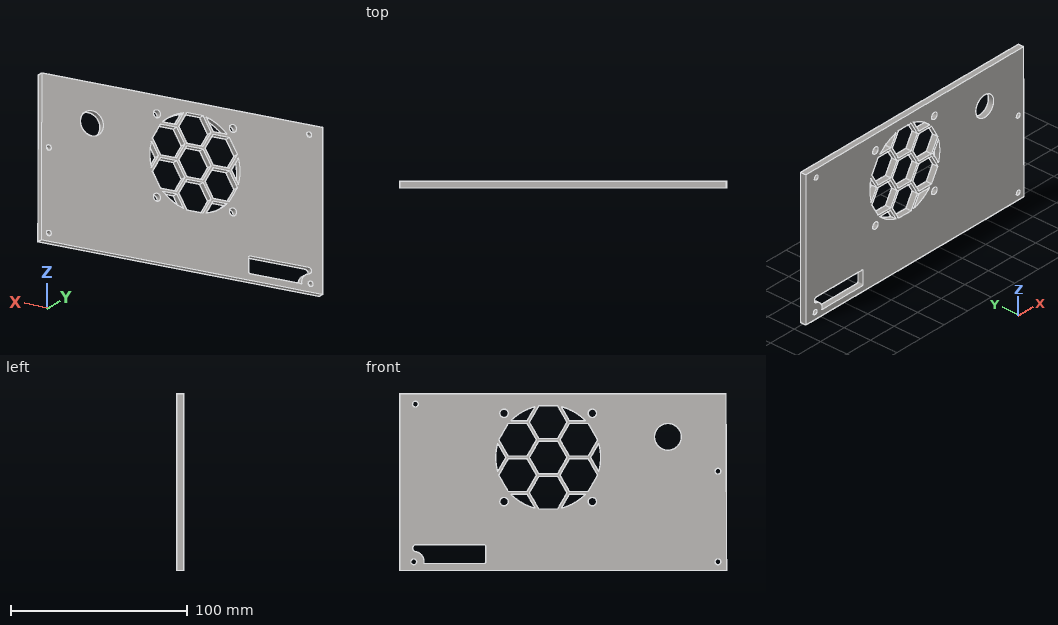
import cadquery as cq
import math

length = 185.0
thickness = 4.0
height = 100.1
end_setback = 0.4

fan_x = 84.0
fan_z = 64.0
fan_diameter = 59.2
fan_screw_spacing = 50.0
fan_screw_diameter = 4.6
cell_pitch = 20.0
cell_wall = 1.7

port_x = 151.7
port_z = 75.7
port_diameter = 15.0
mount_diameter = 3.1
corner_hole = (8.0, 5.0)
mount_points = [corner_hole, (8.9, 94.2), (180.0, 56.3), (180.0, 5.0)]

slot_left = 7.4
slot_right = 48.7
slot_bottom = 4.0
slot_top = 14.6
slot_corner_radius = 1.0
slot_end_radius = 1.9
boss_radius = 6.0


def through_cutter(sketch):
    """Extrude a sketch on the XZ plane through the plate thickness."""
    return sketch.extrude(-thickness)


def round_holes(points, diameter):
    return through_cutter(cq.Workplane("XZ").pushPoints(points).circle(diameter / 2))


def honeycomb_opening():
    """Hexagonal cells, flats facing up and down, trimmed to the fan circle."""
    column_pitch = cell_pitch * math.sqrt(3) / 2
    cell_diameter = (cell_pitch - cell_wall) * 2 / math.sqrt(3)
    centres = []
    for column in range(-2, 3):
        for row in range(-2, 3):
            offset = cell_pitch / 2 if column % 2 else 0
            centres.append((fan_x + column * column_pitch, fan_z + row * cell_pitch + offset))
    cells = through_cutter(cq.Workplane("XZ").pushPoints(centres).polygon(6, cell_diameter))
    return cells.intersect(round_holes([(fan_x, fan_z)], fan_diameter))


def slot_cutter():
    """Rounded rectangle minus a round boss, ending in a rounded nose above the boss."""
    hole_x, hole_z = corner_hole
    nose_x = slot_left + slot_end_radius
    nose_z = slot_top - slot_end_radius
    nose_distance = math.hypot(nose_x - hole_x, nose_z - hole_z)
    toward_nose = ((nose_x - hole_x) / nose_distance, (nose_z - hole_z) / nose_distance)
    tangent = (hole_x + boss_radius * toward_nose[0], hole_z + boss_radius * toward_nose[1])
    boss_end_x = hole_x + math.sqrt(boss_radius**2 - (hole_z - slot_bottom) ** 2)
    boss_middle = (
        hole_x + boss_radius * math.cos(math.pi / 4),
        hole_z + boss_radius * math.sin(math.pi / 4),
    )
    outline = (
        cq.Workplane("XZ")
        .moveTo(nose_x, slot_top)
        .lineTo(slot_right, slot_top)
        .lineTo(slot_right, slot_bottom)
        .lineTo(boss_end_x, slot_bottom)
        .threePointArc(boss_middle, tangent)
        .threePointArc((slot_left, nose_z), (nose_x, slot_top))
        .close()
    )
    return through_cutter(outline).edges("|Y").edges(">X").fillet(slot_corner_radius)


plate = through_cutter(
    cq.Workplane("XZ").polyline([(0, 0), (length, 0), (length - end_setback, height), (0, height)]).close()
)

half_spacing = fan_screw_spacing / 2
fan_screw_points = [
    (fan_x + side * half_spacing, fan_z + level * half_spacing) for side in (-1, 1) for level in (-1, 1)
]

result = (
    plate.cut(honeycomb_opening())
    .cut(round_holes(fan_screw_points, fan_screw_diameter))
    .cut(round_holes([(port_x, port_z)], port_diameter))
    .cut(round_holes(mount_points, mount_diameter))
    .cut(slot_cutter())
)